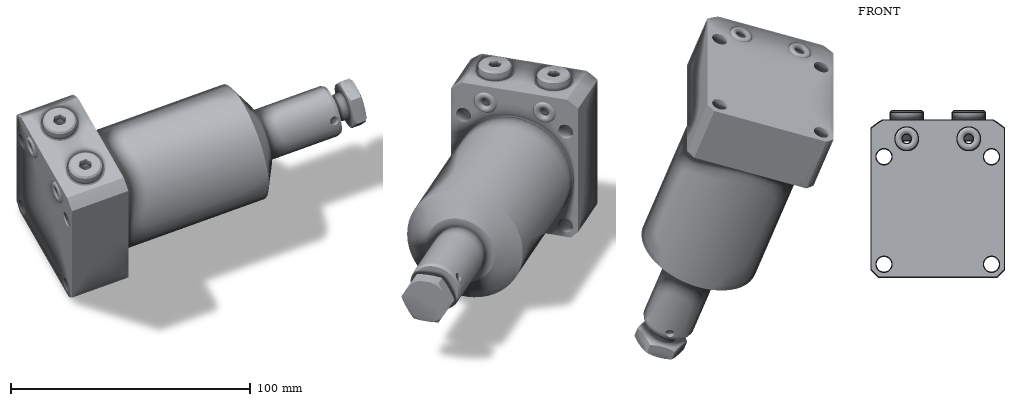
import cadquery as cq
import math


OVERALL_LENGTH = 144.2

RING_SECTION_RADIUS = 1.51
RING_MEAN_RADIUS = 3.5
RING_PROTRUSION = 0.65

DRILL_POINT_ANGLE = 120

BLOCK_WIDTH = 56.0
BLOCK_TOP = 38.0
BLOCK_BOTTOM = -28.0
BLOCK_DEPTH = 26.0
TOP_CORNER_RADIUS = 44.5
BOTTOM_CHAMFER = 3.2
MOUNTING_HOLE_OFFSET = 22.5
MOUNTING_HOLE_DIAMETER = 6.6

PORT_OFFSET = 13.0
PASSAGE_HEIGHT = 30.0
SPOTFACE_DIAMETER = 16.3
SPOTFACE_DEPTH = 0.5
PLUG_DIAMETER = 14.0
PLUG_PROJECTION = 3.9
PLUG_CHAMFER = 0.7
PLUG_NOSE_DIAMETER = 9.8
PLUG_NOSE_REACH = 0.9
SOCKET_ACROSS_FLATS = 5.0
SOCKET_DEPTH = 3.0

BARREL_RADIUS = 25.5
BARREL_FOOT_RADIUS = 26.0
BARREL_FOOT_HEIGHT = 0.9
BARREL_SHOULDER_Y = 91.6
BARREL_NOSE_Y = 97.8
BARREL_NOSE_RADIUS = 15.0

ROD_RADIUS = 11.1
ROD_END_Y = 132.0
ROD_CHAMFER_LENGTH = 1.5
ROD_CHAMFER_DEPTH = 0.6
WRENCH_HOLE_DIAMETER = 3.8
WRENCH_HOLE_DEPTH = 3.5
WRENCH_HOLE_Y = 129.0
WRENCH_HOLE_ANGLES = (30, 150, 270)

HEAD_TOP_Y = OVERALL_LENGTH - RING_PROTRUSION
HEAD_HEIGHT = 5.8
HEAD_ACROSS_FLATS = 19.0
HEAD_CHAMFER_RADIUS = 9.7
HEAD_CHAMFER_ANGLE = 30
COLLAR_RADIUS = 5.9
COLLAR_LENGTH = 3.6
COLLAR_CHAMFER_DEPTH = 0.5
COLLAR_CHAMFER_LENGTH = 0.7
SHANK_RADIUS = 5.0
GROOVE_RADIUS = 4.9
GROOVE_START_Y = 132.9
GROOVE_END_Y = 133.7

RING_OUTER_RADIUS = RING_MEAN_RADIUS + RING_SECTION_RADIUS
RING_INNER_RADIUS = RING_MEAN_RADIUS - RING_SECTION_RADIUS
RING_SEAT_DEPTH = 2 * RING_SECTION_RADIUS - RING_PROTRUSION
RING_CENTRE_DEPTH = RING_SECTION_RADIUS - RING_PROTRUSION
HEAD_BOTTOM_Y = HEAD_TOP_Y - HEAD_HEIGHT
HEX_SIDES = 6
HEX_FLAT_TO_CORNER = math.cos(math.pi / HEX_SIDES)


def cylinder_along_y(radius, y_start, y_end, x=0, z=0):
    return cq.Workplane("XY").add(
        cq.Solid.makeCylinder(radius, y_end - y_start, cq.Vector(x, y_start, z), cq.Vector(0, 1, 0))
    )


def cylinder_along_z(radius, x, z_start, z_end):
    return cq.Workplane("XY", origin=(x, BLOCK_DEPTH / 2, z_start)).circle(radius).extrude(z_end - z_start)


def turned(profile):
    """Solid of revolution about the Y axis from (radius, y) points."""
    return cq.Workplane("XY").polyline(profile).close().revolve(360, (0, 0, 0), (0, 1, 0))


def drill_point_length(radius):
    return radius / math.tan(math.radians(DRILL_POINT_ANGLE / 2))


def make_block():
    """Rectangular plate with chamfered bottom corners and top corners turned to a radius."""
    height = BLOCK_TOP - BLOCK_BOTTOM
    plate = (
        cq.Workplane("XY", origin=(0, BLOCK_DEPTH / 2, BLOCK_BOTTOM))
        .box(BLOCK_WIDTH, BLOCK_DEPTH, height, centered=(True, True, False))
        .edges("|Y and <Z").chamfer(BOTTOM_CHAMFER)
    )
    return plate.intersect(cylinder_along_y(TOP_CORNER_RADIUS, 0, BLOCK_DEPTH))


def make_barrel():
    """Barrel with a slightly wider foot on the block and a tapered nose."""
    return turned([
        (0, BLOCK_DEPTH),
        (BARREL_FOOT_RADIUS, BLOCK_DEPTH),
        (BARREL_FOOT_RADIUS, BLOCK_DEPTH + BARREL_FOOT_HEIGHT),
        (BARREL_RADIUS, BLOCK_DEPTH + BARREL_FOOT_HEIGHT),
        (BARREL_RADIUS, BARREL_SHOULDER_Y),
        (BARREL_NOSE_RADIUS, BARREL_NOSE_Y),
        (0, BARREL_NOSE_Y),
    ])


def make_rod():
    """Rod with a chamfered end and radial wrench holes."""
    rod = turned([
        (0, BARREL_NOSE_Y),
        (ROD_RADIUS, BARREL_NOSE_Y),
        (ROD_RADIUS, ROD_END_Y - ROD_CHAMFER_LENGTH),
        (ROD_RADIUS - ROD_CHAMFER_DEPTH, ROD_END_Y),
        (0, ROD_END_Y),
    ])
    hole_radius = WRENCH_HOLE_DIAMETER / 2
    point_length = drill_point_length(hole_radius)
    for angle in WRENCH_HOLE_ANGLES:
        outward = cq.Vector(math.cos(math.radians(angle)), 0, math.sin(math.radians(angle)))
        hole_tip = outward * (ROD_RADIUS - WRENCH_HOLE_DEPTH) + cq.Vector(0, WRENCH_HOLE_Y, 0)
        point = cq.Solid.makeCone(0, hole_radius, point_length, hole_tip, outward)
        bore = cq.Solid.makeCylinder(
            hole_radius, WRENCH_HOLE_DEPTH, hole_tip + outward * point_length, outward
        )
        rod = rod.cut(cq.Workplane("XY").add(point)).cut(cq.Workplane("XY").add(bore))
    return rod


def make_contact_bolt():
    """Hexagon head chamfered on both faces, with a collar and a grooved shank reaching the rod end."""
    corner_radius = HEAD_ACROSS_FLATS / 2 / HEX_FLAT_TO_CORNER
    chamfer_height = (corner_radius - HEAD_CHAMFER_RADIUS) * math.tan(math.radians(HEAD_CHAMFER_ANGLE))
    hexagon = (
        cq.Workplane("XZ", origin=(0, HEAD_BOTTOM_Y, 0))
        .polygon(HEX_SIDES, 2 * corner_radius)
        .extrude(-HEAD_HEIGHT)
    )
    envelope = turned([
        (0, HEAD_BOTTOM_Y),
        (HEAD_CHAMFER_RADIUS, HEAD_BOTTOM_Y),
        (corner_radius, HEAD_BOTTOM_Y + chamfer_height),
        (corner_radius, HEAD_TOP_Y - chamfer_height),
        (HEAD_CHAMFER_RADIUS, HEAD_TOP_Y),
        (0, HEAD_TOP_Y),
    ])
    collar_end = HEAD_BOTTOM_Y - COLLAR_LENGTH
    shank = turned([
        (0, ROD_END_Y),
        (SHANK_RADIUS, ROD_END_Y),
        (SHANK_RADIUS, GROOVE_START_Y),
        (GROOVE_RADIUS, GROOVE_START_Y),
        (GROOVE_RADIUS, GROOVE_END_Y),
        (SHANK_RADIUS, GROOVE_END_Y),
        (SHANK_RADIUS, collar_end),
        (COLLAR_RADIUS - COLLAR_CHAMFER_DEPTH, collar_end),
        (COLLAR_RADIUS, collar_end + COLLAR_CHAMFER_LENGTH),
        (COLLAR_RADIUS, HEAD_BOTTOM_Y),
        (0, HEAD_BOTTOM_Y),
    ])
    return hexagon.intersect(envelope).union(shank)


def make_plug_head(x):
    """Round plug head standing in its spotface, chamfered around its top."""
    plug_top = BLOCK_TOP + PLUG_PROJECTION
    return (
        cylinder_along_z(PLUG_DIAMETER / 2, x, BLOCK_TOP - SPOTFACE_DEPTH, plug_top)
        .faces(">Z").chamfer(PLUG_CHAMFER)
    )


def make_socket(x):
    """Hexagon recess with a conical lead-in and a drill point at its bottom."""
    plug_top = BLOCK_TOP + PLUG_PROJECTION
    corner_radius = SOCKET_ACROSS_FLATS / 2 / HEX_FLAT_TO_CORNER
    point_depth = drill_point_length(corner_radius)
    total_depth = SOCKET_DEPTH + point_depth
    hexagon = (
        cq.Workplane("XY", origin=(x, BLOCK_DEPTH / 2, plug_top))
        .transformed(rotate=(0, 0, 180 / HEX_SIDES))
        .polygon(HEX_SIDES, 2 * corner_radius)
        .extrude(-total_depth)
    )
    drilled = (
        cq.Workplane("XZ", origin=(x, BLOCK_DEPTH / 2, plug_top))
        .polyline([(0, 0), (corner_radius, 0), (corner_radius, -SOCKET_DEPTH), (0, -total_depth)])
        .close()
        .revolve(360, (0, 0, 0), (0, 1, 0))
    )
    lead_in = cq.Solid.makeCone(
        corner_radius,
        0,
        point_depth,
        cq.Vector(x, BLOCK_DEPTH / 2, plug_top),
        cq.Vector(0, 0, -1),
    )
    return hexagon.intersect(drilled).union(cq.Workplane("XY").add(lead_in))


def make_oil_passage(x):
    """Bore from front to back with a ring seat at each end, partly closed by the plug nose."""
    bore = cylinder_along_y(RING_INNER_RADIUS, 0, BLOCK_DEPTH, x, PASSAGE_HEIGHT)
    nose = cylinder_along_z(PLUG_NOSE_DIAMETER / 2, x, PASSAGE_HEIGHT - PLUG_NOSE_REACH, BLOCK_TOP)
    front_seat = cylinder_along_y(RING_OUTER_RADIUS, 0, RING_SEAT_DEPTH, x, PASSAGE_HEIGHT)
    back_seat_floor = BLOCK_DEPTH - RING_SEAT_DEPTH
    back_seat = cylinder_along_y(RING_OUTER_RADIUS, back_seat_floor, BLOCK_DEPTH, x, PASSAGE_HEIGHT)
    return bore.cut(nose).union(front_seat).union(back_seat)


def make_clamp_cylinder():
    """Block, barrel, rod, contact bolt and port plugs as one body."""
    body = make_block()
    for x in (-MOUNTING_HOLE_OFFSET, MOUNTING_HOLE_OFFSET):
        for z in (-MOUNTING_HOLE_OFFSET, MOUNTING_HOLE_OFFSET):
            body = body.cut(cylinder_along_y(MOUNTING_HOLE_DIAMETER / 2, 0, BLOCK_DEPTH, x, z))
    body = body.union(make_barrel()).union(make_rod()).union(make_contact_bolt())
    for x in (-PORT_OFFSET, PORT_OFFSET):
        body = body.cut(cylinder_along_z(SPOTFACE_DIAMETER / 2, x, BLOCK_TOP - SPOTFACE_DEPTH, BLOCK_TOP))
        body = body.union(make_plug_head(x)).cut(make_socket(x)).cut(make_oil_passage(x))
    return body


def make_ring(x, y):
    return cq.Solid.makeTorus(
        RING_MEAN_RADIUS, RING_SECTION_RADIUS, cq.Vector(x, y, PASSAGE_HEIGHT), cq.Vector(0, 1, 0)
    )


clamp_cylinder = make_clamp_cylinder()
rings = [
    make_ring(x, y)
    for x in (-PORT_OFFSET, PORT_OFFSET)
    for y in (RING_CENTRE_DEPTH, BLOCK_DEPTH - RING_CENTRE_DEPTH)
]
result = cq.Compound.makeCompound([clamp_cylinder.val(), *rings])